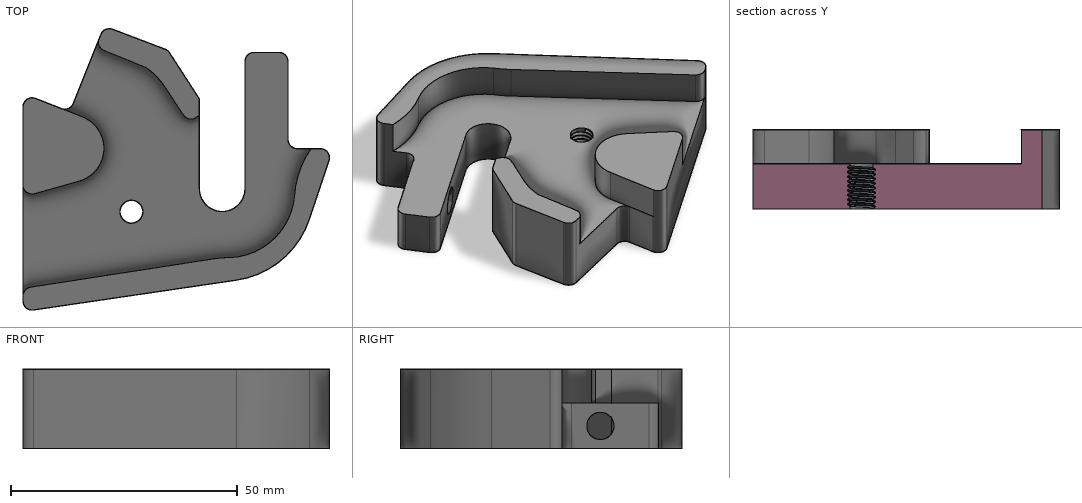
import cadquery as cq
import math

total_height = 17.5
floor_height = 10.0
raised_height = total_height - floor_height

corner_radius = 2.0
outside_x = 74.3

slot_width = 10.0
slot_left = 38.9
slot_right = slot_left + slot_width
slot_center_x = slot_left + slot_width / 2
slot_center_y = 26.75
finger_right = 58.4
finger_top = 56.8
step_y = 35.6

bottom_start_y = -0.35
bottom_corner = (59.25, 8.4)
right_edge_top_x = 68.35
bottom_bend_radius = 20.0

boss_top_left = (0, 47.75)
notch_corner = (10.35, 43.7)
hook_left_corner = (17.9, 62.6)
hook_right_corner = (31.95, 57.3)
hook_slot_y = 46.55

boss_tip = (33.85, 34.45)
boss_bottom_left = (0, 24.9)
boss_nose_radius = 7.5

rib_start = (16.0, 57.95)
rib_bend_start = (27.15, 53.4)
rib_bend_middle = (29.5, 51.4)
rib_bend_end = (31.4, 49.0)
rib_end = (36.5, 41.3)
rib_end_outside = (41.2, 44.5)

wall_left_y = 4.8
wall_straight_end = (41.9, 11.3)
wall_curve_center = (45.0, 26.5)
wall_curve_radius = 14.9
wall_curve_start = -87.0
wall_curve_end = -4.0
wall_top_x = 63.5

thread_x = 23.9
thread_y = 21.7
thread_minor_radius = 2.5
thread_pitch = 1.0
thread_depth = 0.55
thread_root_width = 0.15
thread_mouth_width = 0.9
thread_end_margin = 0.15
groove_overlap = 0.1

cross_hole_diameter = 6.0
cross_hole_y = 44.05
cross_hole_z = floor_height / 2


def unit_step(start, end):
    """Unit vector from start to end."""
    length = math.dist(start, end)
    return (end[0] - start[0]) / length, (end[1] - start[1]) / length


def corner_arc(before, corner, after, radius):
    """Start, middle and end of the arc that rounds a corner between two straight edges."""
    back = unit_step(corner, before)
    ahead = unit_step(corner, after)
    half_angle = math.acos(back[0] * ahead[0] + back[1] * ahead[1]) / 2
    setback = radius / math.tan(half_angle)
    to_center = unit_step((0, 0), (back[0] + ahead[0], back[1] + ahead[1]))
    reach = radius / math.sin(half_angle) - radius
    return [
        (corner[0] + direction[0] * distance, corner[1] + direction[1] * distance)
        for direction, distance in ((back, setback), (to_center, reach), (ahead, setback))
    ]


def rounded_prism(corners, base_z, height):
    """Prism over a polygon of (point, radius) corners; radius 0 leaves a corner sharp."""
    points = [point for point, _ in corners]
    profile = cq.Workplane("XY", origin=(0, 0, base_z)).moveTo(*points[0])
    for index in range(1, len(corners)):
        point, radius = corners[index]
        if radius == 0:
            profile = profile.lineTo(*point)
            continue
        following = points[(index + 1) % len(points)]
        start, middle, end = corner_arc(points[index - 1], point, following, radius)
        profile = profile.lineTo(*start).threePointArc(middle, end)
    return profile.close().extrude(height)


def plate(height):
    """Plate outline with its open, round-ended slot, extruded from Z = 0."""
    corners = [
        ((slot_left, hook_slot_y), 0),
        (hook_right_corner, corner_radius),
        (hook_left_corner, corner_radius),
        (notch_corner, corner_radius),
        (boss_top_left, corner_radius),
        ((0, bottom_start_y), corner_radius),
        (bottom_corner, bottom_bend_radius),
        ((right_edge_top_x, step_y), corner_radius),
        ((finger_right, step_y), corner_radius),
        ((finger_right, finger_top), corner_radius),
        ((slot_right, finger_top), corner_radius),
        ((slot_right, slot_center_y), 0),
        ((slot_left, slot_center_y), 0),
    ]
    slot_end = (
        cq.Workplane("XY")
        .center(slot_center_x, slot_center_y)
        .circle(slot_width / 2)
        .extrude(height)
    )
    return rounded_prism(corners, 0, height).cut(slot_end)


def boss():
    corners = [
        (boss_top_left, 0),
        (boss_tip, boss_nose_radius),
        (boss_bottom_left, corner_radius),
    ]
    return rounded_prism(corners, floor_height, raised_height)


def hook_rib():
    start_arc = corner_arc(hook_left_corner, rib_start, rib_bend_start, corner_radius)
    end_arc = corner_arc(rib_bend_end, rib_end, rib_end_outside, corner_radius)
    return (
        cq.Workplane("XY", origin=(0, 0, floor_height))
        .moveTo(*hook_left_corner)
        .lineTo(*start_arc[0])
        .threePointArc(*start_arc[1:])
        .lineTo(*rib_bend_start)
        .threePointArc(rib_bend_middle, rib_bend_end)
        .lineTo(*end_arc[0])
        .threePointArc(*end_arc[1:])
        .lineTo(*rib_end_outside)
        .lineTo(rib_end_outside[0], hook_left_corner[1])
        .close()
        .extrude(raised_height)
    )


def wall_curve_point(angle):
    """Point on the hollow stretch of the wall's inner face, angle in degrees."""
    turn = math.radians(angle)
    return (
        wall_curve_center[0] + wall_curve_radius * math.cos(turn),
        wall_curve_center[1] + wall_curve_radius * math.sin(turn),
    )


def curved_wall():
    left_corner = (0, wall_left_y)
    start, middle, end = corner_arc((0, bottom_start_y), left_corner, wall_straight_end, corner_radius)
    return (
        cq.Workplane("XY", origin=(0, 0, floor_height))
        .moveTo(0, bottom_start_y)
        .lineTo(*start)
        .threePointArc(middle, end)
        .lineTo(*wall_straight_end)
        .tangentArcPoint(wall_curve_point(wall_curve_start), relative=False)
        .threePointArc(
            wall_curve_point((wall_curve_start + wall_curve_end) / 2),
            wall_curve_point(wall_curve_end),
        )
        .tangentArcPoint((wall_top_x, step_y), relative=False)
        .lineTo(outside_x, step_y)
        .lineTo(outside_x, bottom_start_y)
        .close()
        .extrude(raised_height)
    )


def threaded_hole():
    """Cutters for a right-hand V thread groove and its bore, the groove ending inside both faces."""
    bore = cq.Workplane("XY").circle(thread_minor_radius).extrude(floor_height)
    start_z = thread_mouth_width / 2 + thread_end_margin
    path = cq.Wire.makeHelix(
        thread_pitch, floor_height - 2 * start_z, thread_minor_radius, cq.Vector(0, 0, start_z)
    )
    groove = (
        cq.Workplane("XZ", origin=(0, 0, start_z))
        .moveTo(thread_minor_radius - groove_overlap, -thread_mouth_width / 2)
        .lineTo(thread_minor_radius + thread_depth, -thread_root_width / 2)
        .lineTo(thread_minor_radius + thread_depth, thread_root_width / 2)
        .lineTo(thread_minor_radius - groove_overlap, thread_mouth_width / 2)
        .close()
        .sweep(cq.Workplane(path), isFrenet=True)
    )
    return groove.translate((thread_x, thread_y, 0)), bore.translate((thread_x, thread_y, 0))


def cross_hole():
    return (
        cq.Workplane("YZ", origin=(slot_right, cross_hole_y, cross_hole_z))
        .circle(cross_hole_diameter / 2)
        .extrude(finger_right - slot_right)
    )


raised = boss().union(hook_rib()).union(curved_wall()).intersect(plate(total_height))
groove, bore = threaded_hole()
base = plate(floor_height).cut(groove).cut(bore)
result = base.union(raised).cut(cross_hole())